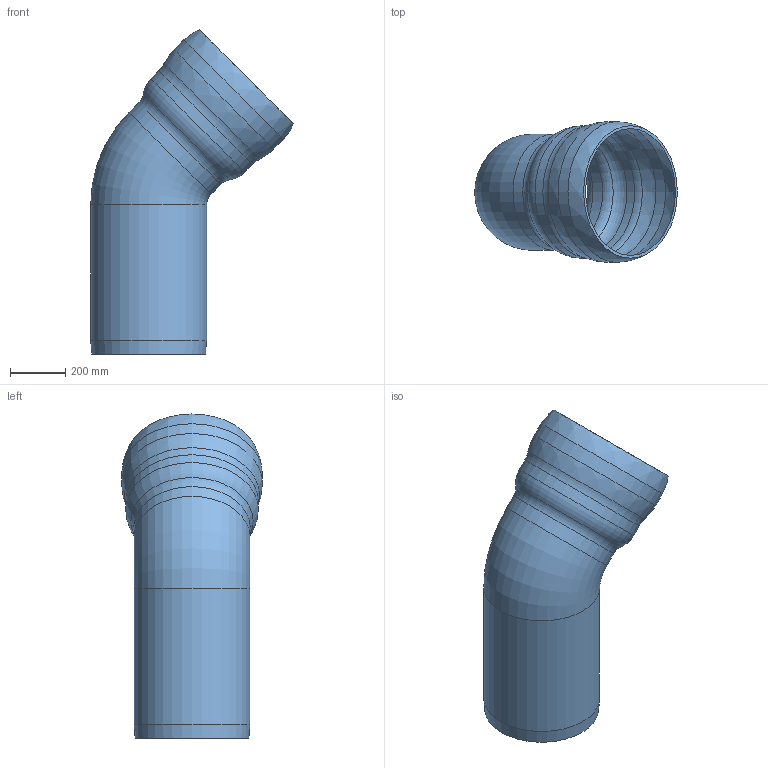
import math

import cadquery as cq

PIPE_RADIUS = 210.0
WALL = 10.0
BEND_ANGLE = 45.0
BEND_RADIUS = 263.4
LEG_LENGTH = 650.0
SPIGOT_TAPER_LENGTH = 50.0
SPIGOT_END_RADIUS = 206.0

NECK_LENGTH = 50.0
SEAT_RADIUS = 240.0
SEAT_LENGTH = 40.0
BELL_RADIUS = 255.0
BELL_LENGTH = 50.0
MOUTH_RADIUS = 240.0

SEAT_HOLLOW_ARC = 60.0
SEAT_CROWN_ARC = 100.0
BELL_HOLLOW_ARC = 100.0
BELL_CROWN_ARC = 200.0
MOUTH_ARC = 150.0

LEG_STRAIGHT = LEG_LENGTH - BEND_RADIUS * math.tan(math.radians(BEND_ANGLE / 2))


def tangent_arc(profile, start, radial_step, arc_radius):
    """Add an arc that leaves start parallel to the axis and return its end point.

    Points are (radius, height). The sign of radial_step gives the bending direction.
    """
    radius, height = start
    angle = math.acos(1 - abs(radial_step) / arc_radius)
    end = (radius + radial_step, height + arc_radius * math.sin(angle))
    middle_step = math.copysign(arc_radius * (1 - math.cos(angle / 2)), radial_step)
    middle = (radius + middle_step, height + arc_radius * math.sin(angle / 2))
    profile = profile.threePointArc(middle, end)
    return profile, end


def widening(profile, start, end_radius, hollow_arc, crown_arc):
    """Add a smooth S-shaped widening, a hollow arc followed by a crown arc."""
    radius, height = start
    rise = end_radius - radius
    arc_sum = hollow_arc + crown_arc
    angle = math.acos(1 - rise / arc_sum)
    join = (radius + rise * hollow_arc / arc_sum, height + hollow_arc * math.sin(angle))
    end = (end_radius, height + arc_sum * math.sin(angle))

    hollow_middle = (
        radius + hollow_arc * (1 - math.cos(angle / 2)),
        height + hollow_arc * math.sin(angle / 2),
    )
    crown_middle = (
        end_radius - crown_arc * (1 - math.cos(angle / 2)),
        end[1] - crown_arc * math.sin(angle / 2),
    )
    profile = profile.threePointArc(hollow_middle, join).threePointArc(crown_middle, end)
    return profile, end


def socket_body(inset):
    """Revolve neck and socket, with the surface lying inset below the outer one."""
    pipe_radius = PIPE_RADIUS - inset
    seat_radius = SEAT_RADIUS - inset
    bell_radius = BELL_RADIUS - inset

    point = (pipe_radius, NECK_LENGTH)
    profile = cq.Workplane("XZ").moveTo(0, 0).lineTo(pipe_radius, 0).lineTo(*point)
    profile, point = widening(
        profile, point, seat_radius, SEAT_HOLLOW_ARC + inset, SEAT_CROWN_ARC - inset
    )
    point = (seat_radius, point[1] + SEAT_LENGTH)
    profile = profile.lineTo(*point)
    profile, point = widening(
        profile, point, bell_radius, BELL_HOLLOW_ARC + inset, BELL_CROWN_ARC - inset
    )
    point = (bell_radius, point[1] + BELL_LENGTH)
    profile = profile.lineTo(*point)
    profile, point = tangent_arc(profile, point, MOUTH_RADIUS - BELL_RADIUS, MOUTH_ARC)
    return profile.lineTo(0, point[1]).close().revolve(360, (0, 0), (0, 1))


def place_on_bend_end(body):
    """Move a body from the origin to the end of the bend and tilt it with the axis."""
    angle = math.radians(BEND_ANGLE)
    bend_end = (
        BEND_RADIUS * (1 - math.cos(angle)),
        0,
        LEG_STRAIGHT + BEND_RADIUS * math.sin(angle),
    )
    return body.rotate((0, 0, 0), (0, 1, 0), BEND_ANGLE).translate(bend_end)


def bend_body(radius):
    """Sweep a round section through the bend."""
    return (
        cq.Workplane("XY", origin=(0, 0, LEG_STRAIGHT))
        .circle(radius)
        .revolve(BEND_ANGLE, (BEND_RADIUS, 0), (BEND_RADIUS, 1))
    )


def spigot_outside():
    """Straight leg with a slight taper towards its free end."""
    return (
        cq.Workplane("XZ")
        .lineTo(SPIGOT_END_RADIUS, 0)
        .lineTo(PIPE_RADIUS, SPIGOT_TAPER_LENGTH)
        .lineTo(PIPE_RADIUS, LEG_STRAIGHT)
        .lineTo(0, LEG_STRAIGHT)
        .close()
        .revolve(360, (0, 0), (0, 1))
    )


def spigot_bore():
    """Plain bore of the straight leg."""
    return cq.Workplane("XY").circle(PIPE_RADIUS - WALL).extrude(LEG_STRAIGHT)


spigot = spigot_outside().cut(spigot_bore())
bend = bend_body(PIPE_RADIUS).cut(bend_body(PIPE_RADIUS - WALL))
socket = place_on_bend_end(socket_body(0).cut(socket_body(WALL)))

result = spigot.union(bend).union(socket)